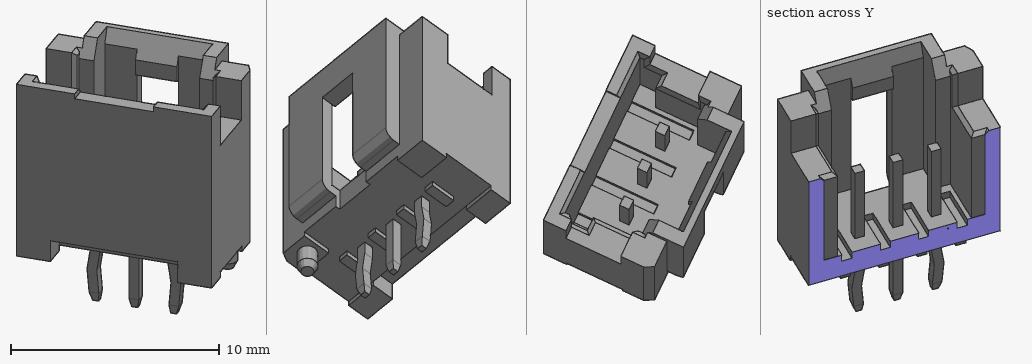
import cadquery as cq


OVERALL_HEIGHT = 12.95

HOUSING_WIDTH = 10.0
HOUSING_DEPTH = 5.8
HOUSING_HEIGHT = 9.21
CORNER_CUT_X = 0.25
CORNER_CUT_Y = 0.47

SHROUD_WIDTH = 6.79
SHROUD_BACK = 6.7
SHROUD_BOTTOM = 1.07
SHROUD_TOP = 9.74
SHROUD_RADIUS = 0.52

FLOOR_TOP = 1.68
CAVITY_FRONT = 0.78
WIDE_HALF = 4.18
WIDE_BACK = 1.94
MIDDLE_HALF = 3.48
MIDDLE_BACK = 4.55
CHANNEL_HALF = 2.71
CHANNEL_BACK = 6.05

FLARE = 0.21

ARM_SLOPE_RUN = 0.5
ARM_SLOPE_DROP = 1.0

LATCH_HALF = 1.06
LATCH_FRONT = 5.85
LATCH_BOTTOM = 7.67
LEAD_IN_BACK = 6.36
LEAD_IN_BOTTOM = 8.47
WINDOW_FRONT = 5.54

SIDE_NOTCH_FRONT = 1.2
SIDE_NOTCH_BACK = 4.12
SIDE_NOTCH_BOTTOM = 7.1
FRONT_RELIEF_WIDTH = 4.03
FRONT_RELIEF_DEPTH = 0.26

FOOT_HEIGHT = 0.3
FOOT_GAP_FRONT = 1.25
FOOT_GAP_BACK = 4.21
UNDERSIDE_WIDTH = 6.53
FRONT_NOTCH_HEIGHT = 1.11
STANDOFF_FRONT = 2.1
STANDOFF_BACK = 3.5

PITCH = 2.0
PIN_SIZE = 0.5
PIN_Y = 3.0
PIN_TOP = 5.96
PIN_END = SHROUD_TOP - OVERALL_HEIGHT
PIN_BEND_START = -0.52
PIN_BEND_PEAK = -1.52
PIN_TIP_START = -2.73
PIN_TIP_SIZE = 0.3
BEND_PEAK_OFFSET = 0.15
BEND_END_OFFSET = 0.05
GROOVE_BACK = 4.08
GROOVE_DEPTH = 0.39

PEG_X = 3.99
PEG_Y = 4.92
PEG_RADIUS = 0.5
PEG_TIP_RADIUS = 0.31
PEG_LENGTH = 1.31
PEG_TIP_LENGTH = 0.39

HALF_WIDTH = HOUSING_WIDTH / 2
PIN_CENTRES = (-PITCH, 0, PITCH)
LEAD_IN_SLOPE = (SHROUD_TOP - LEAD_IN_BOTTOM) / (LEAD_IN_BACK - LATCH_FRONT)
LEAD_IN_CHANNEL_EDGE = SHROUD_TOP - LEAD_IN_SLOPE * (LEAD_IN_BACK - CHANNEL_BACK)


def block(x_min, x_max, y_min, y_max, z_min, z_max):
    """Box given by its limits along each axis."""
    box = cq.Workplane("XY").box(x_max - x_min, y_max - y_min, z_max - z_min, centered=False)
    return box.translate((x_min, y_min, z_min))


def centred_block(width, y_min, y_max, z_min, z_max):
    """Box that is symmetric about X = 0."""
    return block(-width / 2, width / 2, y_min, y_max, z_min, z_max)


def side_profile(points, width):
    """Prism symmetric about X = 0 from an outline of (y, z) points."""
    return cq.Workplane("YZ").polyline(points).close().extrude(width / 2, both=True)


def make_shell():
    """Solid housing with one cut corner, joined to the shroud."""
    housing = centred_block(HOUSING_WIDTH, 0, HOUSING_DEPTH, 0, HOUSING_HEIGHT)
    corner = (
        cq.Workplane("XY")
        .moveTo(HALF_WIDTH, HOUSING_DEPTH)
        .lineTo(HALF_WIDTH - CORNER_CUT_X, HOUSING_DEPTH)
        .lineTo(HALF_WIDTH, HOUSING_DEPTH - CORNER_CUT_Y)
        .close()
        .extrude(HOUSING_HEIGHT)
    )
    shroud = centred_block(SHROUD_WIDTH, MIDDLE_BACK, SHROUD_BACK, SHROUD_BOTTOM, SHROUD_TOP)
    shroud = shroud.edges("|X and >Y and <Z").fillet(SHROUD_RADIUS)
    return housing.cut(corner).union(shroud)


def cavity_outline(growth, back):
    """Corners of the wide and middle parts of the cavity, grown outwards, with the back edge given."""
    right = [
        (WIDE_HALF + growth, CAVITY_FRONT - growth),
        (WIDE_HALF + growth, WIDE_BACK + growth),
        (MIDDLE_HALF + growth, WIDE_BACK + growth),
        (MIDDLE_HALF + growth, back),
    ]
    left = [(-x, y) for x, y in reversed(right)]
    return right + left


def make_cavity():
    """Cavity with straight walls, including the channel and the slope of the arm ends."""
    pocket = (
        cq.Workplane("XY", origin=(0, 0, FLOOR_TOP))
        .polyline(cavity_outline(0, MIDDLE_BACK))
        .close()
        .extrude(SHROUD_TOP - FLOOR_TOP)
    )
    channel = centred_block(2 * CHANNEL_HALF, WIDE_BACK, CHANNEL_BACK, FLOOR_TOP, SHROUD_TOP)
    arm_slope = side_profile(
        [
            (MIDDLE_BACK, SHROUD_TOP - ARM_SLOPE_DROP),
            (MIDDLE_BACK + ARM_SLOPE_RUN, SHROUD_TOP),
            (MIDDLE_BACK, SHROUD_TOP),
        ],
        2 * MIDDLE_HALF,
    )
    return pocket.union(channel).union(arm_slope)


def arm_slope_y(z):
    """Y of the sloped arm ends at height z."""
    return MIDDLE_BACK + ARM_SLOPE_RUN - (SHROUD_TOP - z) * ARM_SLOPE_RUN / ARM_SLOPE_DROP


def make_flare(top):
    """Flared mouth around the cavity whose upper edge lies at the given height."""
    bottom = top - FLARE
    return (
        cq.Workplane("XY", origin=(0, 0, bottom))
        .polyline(cavity_outline(0, arm_slope_y(HOUSING_HEIGHT - FLARE)))
        .close()
        .workplane(offset=FLARE)
        .polyline(cavity_outline(FLARE, arm_slope_y(HOUSING_HEIGHT)))
        .close()
        .loft(ruled=True, combine=True)
    )


def make_post_flare(wall_x, notch_y, direction):
    """Flare on an upright inner edge of both side notches; direction is its sense along Y."""
    bottom = SIDE_NOTCH_BOTTOM - FLARE
    wedge = (
        cq.Workplane("XY", origin=(0, 0, bottom))
        .moveTo(wall_x, notch_y)
        .lineTo(wall_x + FLARE, notch_y)
        .lineTo(wall_x, notch_y + direction * FLARE)
        .close()
        .extrude(HOUSING_HEIGHT - bottom)
    )
    return wedge.union(wedge.mirror("YZ"))


def make_side_notches():
    """Open notches across both side walls with flared inner edges that meet in mitres."""
    uprights = (
        centred_block(HOUSING_WIDTH, SIDE_NOTCH_FRONT, SIDE_NOTCH_BACK, 0, HOUSING_HEIGHT)
        .union(make_post_flare(MIDDLE_HALF, SIDE_NOTCH_BACK, 1))
        .union(make_post_flare(WIDE_HALF, SIDE_NOTCH_FRONT, -1))
    )
    above_ledge = centred_block(HOUSING_WIDTH, 0, HOUSING_DEPTH, SIDE_NOTCH_BOTTOM, HOUSING_HEIGHT)
    return uprights.intersect(above_ledge.union(make_flare(SIDE_NOTCH_BOTTOM)))


def make_back_opening():
    """Sloped lead-in above the back wall, plus the window that passes below the latch."""
    lead_in = side_profile(
        [
            (CHANNEL_BACK, LEAD_IN_CHANNEL_EDGE),
            (LEAD_IN_BACK, SHROUD_TOP),
            (CHANNEL_BACK, SHROUD_TOP),
        ],
        2 * CHANNEL_HALF,
    )
    window = centred_block(2 * LATCH_HALF, WINDOW_FRONT, SHROUD_BACK, 0, LATCH_BOTTOM)
    return lead_in.union(window)


def make_latch():
    """Nose on the back wall that overhangs the window."""
    return side_profile(
        [
            (LATCH_FRONT, LATCH_BOTTOM),
            (LATCH_FRONT, LEAD_IN_BOTTOM),
            (CHANNEL_BACK, LEAD_IN_CHANNEL_EDGE),
            (CHANNEL_BACK, LATCH_BOTTOM),
        ],
        2 * LATCH_HALF,
    )


def make_underside_cuts():
    """Clearance that leaves four corner feet, and the notch below the front wall."""
    cross_gap = centred_block(HOUSING_WIDTH, FOOT_GAP_FRONT, FOOT_GAP_BACK, 0, FOOT_HEIGHT)
    long_gap = centred_block(UNDERSIDE_WIDTH, 0, HOUSING_DEPTH, 0, FOOT_HEIGHT)
    front_notch = centred_block(UNDERSIDE_WIDTH, 0, FOOT_GAP_FRONT, 0, FRONT_NOTCH_HEIGHT)
    return cross_gap.union(long_gap).union(front_notch)


def make_ribs(y_min, y_max, z_min, z_max):
    """Row of four bars between and beside the pins; the outer two end flush with the underside gap."""
    half = PIN_SIZE / 2
    inner = block(PITCH / 2 - half, PITCH / 2 + half, y_min, y_max, z_min, z_max)
    outer = block(1.5 * PITCH - half, UNDERSIDE_WIDTH / 2, y_min, y_max, z_min, z_max)
    bars = inner.union(outer)
    return bars.union(bars.mirror("YZ"))


def make_pin(x, bend):
    """Square pin with a tapered end; bend is -1, 0 or 1 for the sense of its kink along X."""
    peak_x = x + bend * BEND_PEAK_OFFSET
    end_x = x + bend * BEND_END_OFFSET
    centre_line = [
        (x, PIN_TOP),
        (x, PIN_BEND_START),
        (peak_x, PIN_BEND_PEAK),
        (end_x, PIN_TIP_START),
    ]
    half = PIN_SIZE / 2
    right_side = [(px + half, pz) for px, pz in centre_line]
    left_side = [(px - half, pz) for px, pz in reversed(centre_line)]
    shank = (
        cq.Workplane("XZ", origin=(0, PIN_Y, 0))
        .polyline(right_side + left_side)
        .close()
        .extrude(half, both=True)
    )
    tip = (
        cq.Workplane("XY", origin=(end_x, PIN_Y, PIN_TIP_START))
        .rect(PIN_SIZE, PIN_SIZE)
        .workplane(offset=PIN_END - PIN_TIP_START)
        .center(x - end_x, 0)
        .rect(PIN_TIP_SIZE, PIN_TIP_SIZE)
        .loft(ruled=True, combine=True)
    )
    return shank.union(tip)


def make_peg():
    """Round locating peg with a conical end."""
    shoulder = PEG_TIP_LENGTH - PEG_LENGTH
    profile = [
        (0, FOOT_HEIGHT),
        (PEG_RADIUS, FOOT_HEIGHT),
        (PEG_RADIUS, shoulder),
        (PEG_TIP_RADIUS, -PEG_LENGTH),
        (0, -PEG_LENGTH),
    ]
    peg = cq.Workplane("XZ").polyline(profile).close().revolve(360, (0, 0, 0), (0, 1, 0))
    return peg.translate((PEG_X, PEG_Y, 0))


front_relief = centred_block(
    FRONT_RELIEF_WIDTH, 0, CAVITY_FRONT, HOUSING_HEIGHT - FRONT_RELIEF_DEPTH, HOUSING_HEIGHT
)

result = (
    make_shell()
    .cut(make_cavity())
    .cut(make_flare(HOUSING_HEIGHT))
    .cut(make_side_notches())
    .cut(make_back_opening())
    .union(make_latch())
    .cut(front_relief)
    .cut(make_underside_cuts())
    .cut(make_ribs(CAVITY_FRONT, GROOVE_BACK, FLOOR_TOP - GROOVE_DEPTH, FLOOR_TOP))
    .union(make_ribs(STANDOFF_FRONT, STANDOFF_BACK, 0, FOOT_HEIGHT))
    .union(make_peg())
)

for pin_x in PIN_CENTRES:
    bend_direction = (pin_x > 0) - (pin_x < 0)
    result = result.union(make_pin(pin_x, bend_direction))